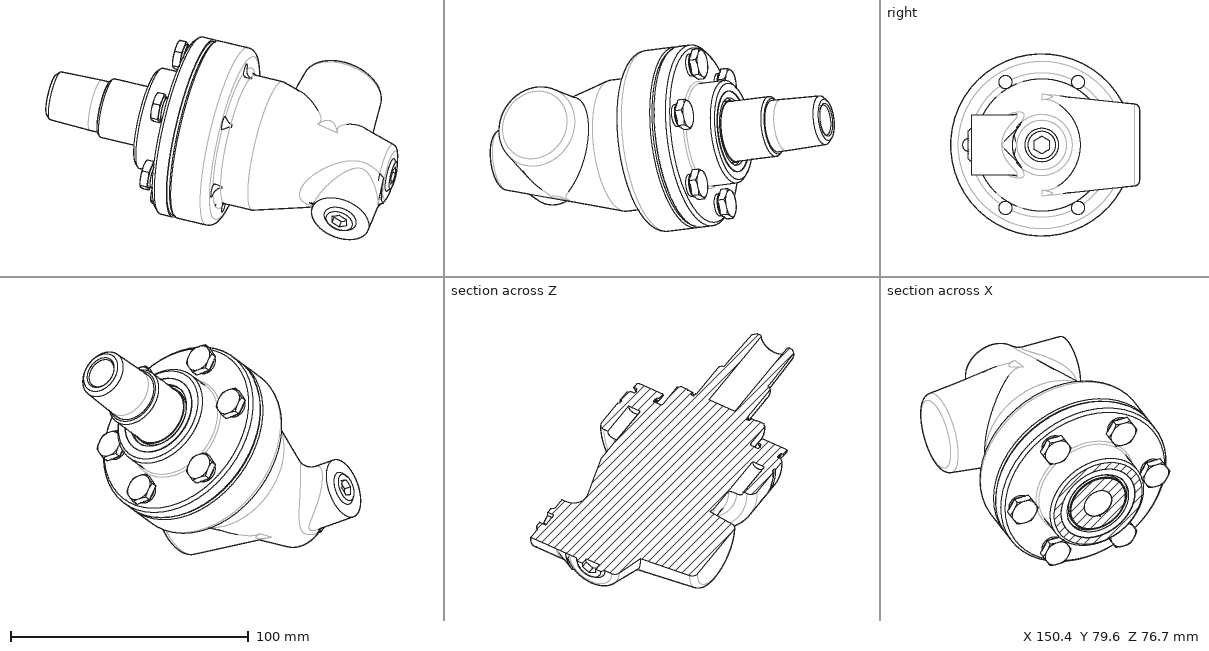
import cadquery as cq
import math


SHAFT_TIP_DIA = 20.7
SHAFT_TIP_FACE_DIA = 17.5
SHAFT_TIP_CHAMFER = 1.7
SHAFT_NECK_DIA = 21.8
SHAFT_TAPER_END = 19.4
SHAFT_SHOULDER_X = 23.5
SHAFT_SHOULDER_DIA = 23.5
SHAFT_SHOULDER_CHAMFER = 1.0
SHAFT_DIA = 25.4
SHAFT_BORE_DIA = 12.6
SHAFT_BORE_CHAMFER = 0.6

HUB_DIA = 43.5
HUB_FACE_X = 42.4
HUB_CHAMFER = 1.4
HUB_FOOT_RADIUS = 0.9
SEAL_DIA = 34.1
SEAL_RECESS_DEPTH = 0.3
SEAL_GROOVE_OUTER_DIA = 28.5
SEAL_GROOVE_INNER_DIA = 26.2
SEAL_GROOVE_DEPTH = 1.5
FLANGE_DIA = 76.7
PLATE_FACE_X = 55.8
PLATE_END_X = 62.4
PLATE_CHAMFER = 1.4

GROOVE_DIA = 75.2
HOUSING_X = 63.6
HOUSING_CHAMFER = 0.8
HOUSING_BACK_X = 80.4
HOUSING_BACK_RADIUS = 3.2
NECK_DIA = 55.6
NECK_FOOT_RADIUS = 2.5
CONE_START_X = 95.0
END_FACE_X = 149.0
END_RADIUS = 2.5
END_CONE_DIA = 24.7
CONE_SLOPE = (NECK_DIA - END_CONE_DIA) / 2 / (END_FACE_X - CONE_START_X)
CONE_SPARE = 9.0

HEX_SIDES = 6

SCREW_COUNT = 6
SCREW_CIRCLE_DIA = 61.0
SCREW_HEAD_X = 50.0
SCREW_HEAD_HEIGHT = 3.3
SCREW_HEAD_FLATS = 11.3
SCREW_HEAD_CORNERS = SCREW_HEAD_FLATS / math.cos(math.pi / HEX_SIDES)
SCREW_HEAD_FACE_DIA = 11.4
SCREW_HEAD_CHAMFER_ANGLE = 30.0
WASHER_DIA = 10.0
WASHER_HEIGHT = 0.9
SPACER_DIA = 9.3
SCREW_HOLE_DIA = 5.5
SCREW_HOLE_END_X = 83.5

PORT_X = 115.6
PORT_END_Y = 41.2
PORT_END_DIA = 34.1
PORT_DRAFT = 6.2
PORT_RIM_RADIUS = 2.5

SIDE_BOSS_DIA = 25.4
SIDE_BOSS_LENGTH = 29.6
SIDE_BOSS_X = END_FACE_X - SIDE_BOSS_DIA / 2
SIDE_BOSS_FILLET = 6.0

PLUG_BASE_DIA = 14.1
PLUG_TOP_DIA = 11.5
PLUG_HEIGHT = 1.4
PLUG_HEX_CORNERS = 7.4
PLUG_HEX_DEPTH = 3.0


def turned(profile):
    """Revolve a closed sketch drawn in (x, radius) about the X axis."""
    return profile.close().revolve(360, (0, 0, 0), (1, 0, 0))


def x_cylinder(x_start, x_end, diameter):
    return cq.Workplane("YZ", origin=(x_start, 0, 0)).circle(diameter / 2).extrude(x_end - x_start)


def make_shaft():
    shaft = turned(
        cq.Workplane("XY")
        .lineTo(0, SHAFT_TIP_FACE_DIA / 2)
        .lineTo(SHAFT_TIP_CHAMFER, SHAFT_TIP_DIA / 2)
        .lineTo(SHAFT_TAPER_END, SHAFT_NECK_DIA / 2)
        .lineTo(SHAFT_SHOULDER_X, SHAFT_NECK_DIA / 2)
        .lineTo(SHAFT_SHOULDER_X, SHAFT_SHOULDER_DIA / 2)
        .lineTo(SHAFT_SHOULDER_X + SHAFT_SHOULDER_CHAMFER, SHAFT_DIA / 2)
        .lineTo(PLATE_END_X, SHAFT_DIA / 2)
        .lineTo(PLATE_END_X, 0)
    )
    bore = x_cylinder(0, PLATE_FACE_X, SHAFT_BORE_DIA)
    mouth = turned(
        cq.Workplane("XY")
        .lineTo(0, SHAFT_BORE_DIA / 2 + SHAFT_BORE_CHAMFER)
        .lineTo(SHAFT_BORE_CHAMFER, SHAFT_BORE_DIA / 2)
        .lineTo(SHAFT_BORE_CHAMFER, 0)
    )
    return shaft.cut(bore).cut(mouth)


def make_cover():
    hub = x_cylinder(HUB_FACE_X, PLATE_FACE_X, HUB_DIA).faces("<X").chamfer(HUB_CHAMFER)
    plate = x_cylinder(PLATE_FACE_X, PLATE_END_X, FLANGE_DIA).faces("<X").chamfer(PLATE_CHAMFER)
    cover = hub.union(plate)
    plate_face = cover.faces(cq.selectors.NearestToPointSelector((PLATE_FACE_X, 0, SCREW_CIRCLE_DIA / 2)))
    foot_edge = plate_face.edges(cq.selectors.RadiusNthSelector(0))
    cover = foot_edge.fillet(HUB_FOOT_RADIUS)

    recess_x = HUB_FACE_X + SEAL_RECESS_DEPTH
    groove_x = recess_x + SEAL_GROOVE_DEPTH
    groove_core = x_cylinder(recess_x, groove_x, SEAL_GROOVE_INNER_DIA)
    groove = x_cylinder(recess_x, groove_x, SEAL_GROOVE_OUTER_DIA).cut(groove_core)
    return cover.cut(x_cylinder(HUB_FACE_X, recess_x, SEAL_DIA)).cut(groove)


def make_flange():
    flange_r = FLANGE_DIA / 2
    neck_r = NECK_DIA / 2
    diagonal = math.sqrt(0.5)
    back_arc_x = HOUSING_BACK_X - HOUSING_BACK_RADIUS
    back_arc_r = flange_r - HOUSING_BACK_RADIUS
    foot_x = HOUSING_BACK_X + NECK_FOOT_RADIUS
    foot_r = neck_r + NECK_FOOT_RADIUS
    return turned(
        cq.Workplane("XY")
        .moveTo(PLATE_END_X, 0)
        .lineTo(PLATE_END_X, GROOVE_DIA / 2)
        .lineTo(HOUSING_X, GROOVE_DIA / 2)
        .lineTo(HOUSING_X + HOUSING_CHAMFER, flange_r)
        .lineTo(back_arc_x, flange_r)
        .threePointArc(
            (back_arc_x + HOUSING_BACK_RADIUS * diagonal, back_arc_r + HOUSING_BACK_RADIUS * diagonal),
            (HOUSING_BACK_X, back_arc_r),
        )
        .lineTo(HOUSING_BACK_X, foot_r)
        .threePointArc(
            (foot_x - NECK_FOOT_RADIUS * diagonal, foot_r - NECK_FOOT_RADIUS * diagonal),
            (foot_x, neck_r),
        )
        .lineTo(CONE_START_X, neck_r)
        .lineTo(CONE_START_X, 0)
    )


def make_cone(end_x):
    """Conical rear of the housing, carried along its slope to end_x."""
    end_r = NECK_DIA / 2 - CONE_SLOPE * (end_x - CONE_START_X)
    return turned(
        cq.Workplane("XY")
        .moveTo(CONE_START_X, 0)
        .lineTo(CONE_START_X, NECK_DIA / 2)
        .lineTo(end_x, end_r)
        .lineTo(end_x, 0)
    )


def make_side_boss():
    return cq.Workplane("XZ", origin=(SIDE_BOSS_X, 0, 0)).circle(SIDE_BOSS_DIA / 2).extrude(SIDE_BOSS_LENGTH)


def make_rear():
    rear = make_cone(END_FACE_X + CONE_SPARE).union(make_side_boss())
    rear = rear.edges("%BSPLINE").fillet(SIDE_BOSS_FILLET)
    rear = rear.cut(x_cylinder(END_FACE_X, END_FACE_X + 2 * CONE_SPARE, NECK_DIA))

    sharp_cone = make_cone(END_FACE_X)
    rounded_cone = sharp_cone.faces(">X").edges().fillet(END_RADIUS)
    return rear.cut(sharp_cone.cut(rounded_cone).cut(make_side_boss()))


def make_port():
    port = (
        cq.Workplane("XZ", origin=(PORT_X, PORT_END_Y, 0))
        .circle(PORT_END_DIA / 2)
        .extrude(PORT_END_Y, taper=-PORT_DRAFT)
    )
    port = port.faces(">Y").edges().fillet(PORT_RIM_RADIUS)

    neck_r = NECK_DIA / 2
    end_r = END_CONE_DIA / 2
    side_outline = cq.Workplane("XZ", origin=(0, PORT_END_Y, 0)).polyline(
        [
            (HOUSING_BACK_X, neck_r),
            (CONE_START_X, neck_r),
            (END_FACE_X, end_r),
            (END_FACE_X, -end_r),
            (CONE_START_X, -neck_r),
            (HOUSING_BACK_X, -neck_r),
        ]
    )
    return port.intersect(side_outline.close().extrude(PORT_END_Y))


def make_plug():
    """Tapered screw plug standing on the XY plane."""
    plug = cq.Workplane("XY").circle(PLUG_BASE_DIA / 2).workplane(offset=PLUG_HEIGHT)
    return plug.circle(PLUG_TOP_DIA / 2).loft(ruled=True)


def make_socket():
    """Hexagon socket sunk from the top of a plug that stands on the XY plane."""
    socket = cq.Workplane("XY", origin=(0, 0, PLUG_HEIGHT - PLUG_HEX_DEPTH))
    return socket.polygon(HEX_SIDES, PLUG_HEX_CORNERS).extrude(PLUG_HEX_DEPTH)


def on_end_face(item):
    return item.rotate((0, 0, 0), (0, 1, 0), 90).translate((END_FACE_X, 0, 0))


def on_side_boss(item):
    upright = item.rotate((0, 0, 0), (0, 0, 1), 90).rotate((0, 0, 0), (1, 0, 0), 90)
    return upright.translate((SIDE_BOSS_X, -SIDE_BOSS_LENGTH, 0))


def make_screw():
    """Hexagon head, washer and spacer of one flange screw, with its axis on the X axis."""
    head_end_x = SCREW_HEAD_X + SCREW_HEAD_HEIGHT
    washer_end_x = head_end_x + WASHER_HEIGHT
    hexagon = (
        cq.Workplane("YZ", origin=(SCREW_HEAD_X, 0, 0))
        .polygon(HEX_SIDES, SCREW_HEAD_CORNERS)
        .extrude(SCREW_HEAD_HEIGHT)
    )
    corner_width = (SCREW_HEAD_CORNERS - SCREW_HEAD_FACE_DIA) / 2
    corner_height = corner_width * math.tan(math.radians(SCREW_HEAD_CHAMFER_ANGLE))
    chamfered_blank = turned(
        cq.Workplane("XY")
        .moveTo(SCREW_HEAD_X, 0)
        .lineTo(SCREW_HEAD_X, SCREW_HEAD_FACE_DIA / 2)
        .lineTo(SCREW_HEAD_X + corner_height, SCREW_HEAD_CORNERS / 2)
        .lineTo(head_end_x, SCREW_HEAD_CORNERS / 2)
        .lineTo(head_end_x, 0)
    )
    head = hexagon.intersect(chamfered_blank)
    washer = x_cylinder(head_end_x, washer_end_x, WASHER_DIA)
    spacer = x_cylinder(washer_end_x, PLATE_FACE_X, SPACER_DIA)
    return head.union(washer).union(spacer)


result = make_shaft().union(make_cover()).union(make_flange()).union(make_rear()).union(make_port())

for place in (on_end_face, on_side_boss):
    result = result.union(place(make_plug())).cut(place(make_socket()))

screw = make_screw()
screw_hole = x_cylinder(HOUSING_X, SCREW_HOLE_END_X, SCREW_HOLE_DIA)
for i in range(SCREW_COUNT):
    angle = 2 * math.pi * i / SCREW_COUNT
    offset = (0, SCREW_CIRCLE_DIA / 2 * math.cos(angle), SCREW_CIRCLE_DIA / 2 * math.sin(angle))
    result = result.union(screw.translate(offset)).cut(screw_hole.translate(offset))